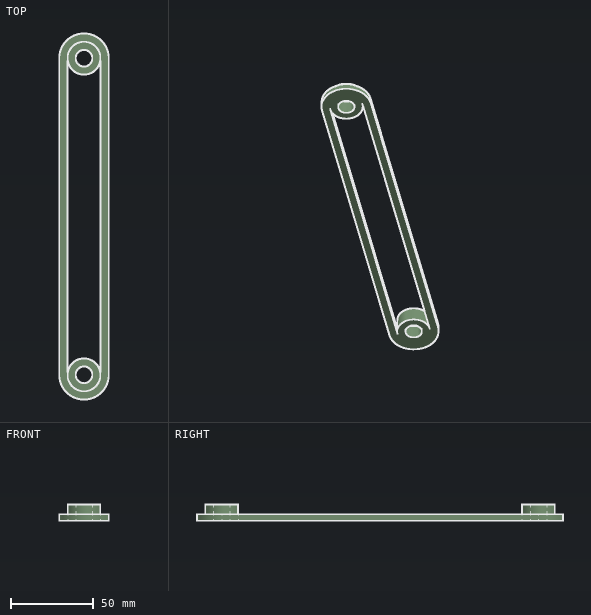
import cadquery as cq

length = 221.2
width = 30.0
height = 10.0

band_thickness = 4.0
boss_diameter = 20.0
hole_diameter = 10.0

center_distance = length - width
boss_centers = [(0, -center_distance / 2), (0, center_distance / 2)]


def oval_plate(plate_width):
    """Round-ended plate along Y, its end arcs centred on the bosses."""
    return (
        cq.Workplane("XY")
        .slot2D(center_distance + plate_width, plate_width, 90)
        .extrude(band_thickness)
    )


def boss_cylinders(diameter):
    """Full-height vertical cylinders at both boss centres."""
    return cq.Workplane("XY").pushPoints(boss_centers).circle(diameter / 2).extrude(height)


band = oval_plate(width).cut(oval_plate(boss_diameter))

result = band.union(boss_cylinders(boss_diameter)).cut(boss_cylinders(hole_diameter))